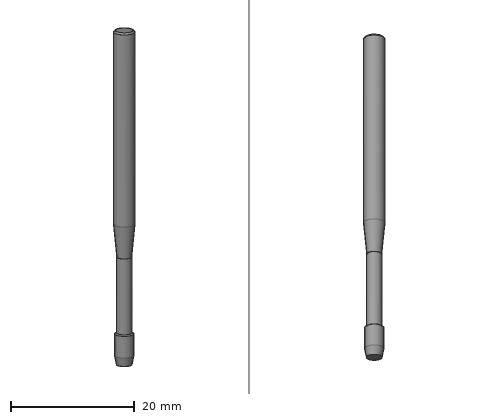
import cadquery as cq

total_length = 56.0
tip_height = 1.5
head_edge_height = 5.15
joint_height = 18.05
taper_top_height = 23.5

shank_diameter = 3.5
taper_end_diameter = 2.4
neck_diameter = 2.5
head_diameter = 3.15
tip_diameter = 2.5

head_back_chamfer_height = 0.15
shank_chamfer = 0.3


def revolve_profile(points):
    """Turn a closed (radius, height) half profile about the Z axis."""
    return cq.Workplane("XZ").polyline(points).close().revolve(360, (0, 0), (0, 1))


def make_cutter():
    """Cutting head with a conical tip, carried on a thin cylindrical neck."""
    tip_radius = tip_diameter / 2
    head_radius = head_diameter / 2
    neck_radius = neck_diameter / 2
    return revolve_profile([
        (0, 0),
        (tip_radius, 0),
        (head_radius, tip_height),
        (head_radius, head_edge_height),
        (neck_radius, head_edge_height + head_back_chamfer_height),
        (neck_radius, joint_height),
        (0, joint_height),
    ])


def make_shank():
    """Cylindrical shank with a chamfered free end, tapering down to the neck joint."""
    taper_end_radius = taper_end_diameter / 2
    shank_radius = shank_diameter / 2
    return revolve_profile([
        (0, joint_height),
        (taper_end_radius, joint_height),
        (shank_radius, taper_top_height),
        (shank_radius, total_length - shank_chamfer),
        (shank_radius - shank_chamfer, total_length),
        (0, total_length),
    ])


cutter = make_cutter()
shank = make_shank()

result = cq.Compound.makeCompound([cutter.val(), shank.val()])